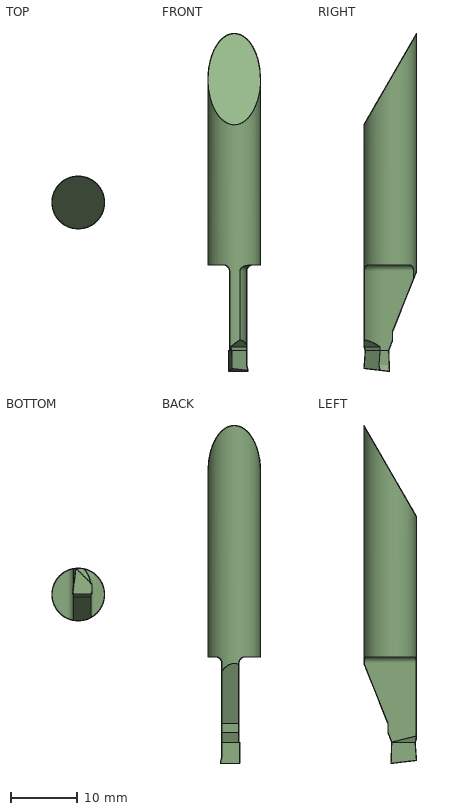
import cadquery as cq
import math

total_height = 51.2
shank_diameter = 8.0
shank_radius = shank_diameter / 2
shank_bottom = 16.1
slant_angle = 60.0
slant_drop = shank_diameter * math.tan(math.radians(slant_angle))

neck_left = -0.7
neck_right = 1.9
root_fillet = 0.9
relief_radius = 4.1
relief_start_y = -1.2
relief_center_x = neck_right - relief_radius
blank_half_depth = 4.6
taper_top = 15.15
taper_bottom = 6.05
heel_y = 0.35
heel_bottom = 4.7

tip_top = 3.2
tip_left = -0.85
tip_flare_right = 2.15
flare_height = 0.95
corner_radius = 0.15
tip_front_y = -3.8
tip_back_y = -0.2
edge_back_y = -0.1
edge_front_height = 0.45
rake_front_x = -0.35

gash_front_height = 4.2
clearance_apex_x = 0.85
clearance_apex = 4.85
clearance_step = 3.75


def relief_x(y):
    """X of the clearance arc on the right of the blade at a given Y."""
    return relief_center_x + math.sqrt(relief_radius**2 - (relief_start_y - y) ** 2)


def neck_and_shank_blank():
    """Oversized bar and blade, filleted together before rounding."""
    arc_mid_y = (relief_start_y - blank_half_depth) / 2
    blade = (
        cq.Workplane("XY")
        .workplane(offset=tip_top)
        .moveTo(neck_left, -blank_half_depth)
        .lineTo(relief_x(-blank_half_depth), -blank_half_depth)
        .threePointArc((relief_x(arc_mid_y), arc_mid_y), (neck_right, relief_start_y))
        .lineTo(neck_right, blank_half_depth)
        .lineTo(neck_left, blank_half_depth)
        .close()
        .extrude(shank_bottom - tip_top)
    )
    bar_width = 2 * blank_half_depth
    bar = (
        cq.Workplane("XY")
        .workplane(offset=shank_bottom)
        .rect(bar_width, bar_width)
        .extrude(total_height - shank_bottom)
    )
    select_margin = 0.5
    root_edges = cq.selectors.BoxSelector(
        (neck_left - select_margin, -blank_half_depth + select_margin, shank_bottom - select_margin),
        (neck_right + select_margin, blank_half_depth - select_margin, shank_bottom + select_margin),
    )
    return bar.union(blade).edges(root_edges).fillet(root_fillet)


def holder_side_profile():
    """Outline in the YZ plane: slanted top, tapered back and narrow foot."""
    return (
        cq.Workplane("YZ")
        .polyline([
            (-shank_radius, tip_top),
            (-shank_radius, total_height - slant_drop),
            (shank_radius, total_height),
            (shank_radius, taper_top),
            (heel_y, taper_bottom),
            (heel_y, heel_bottom),
            (tip_back_y, tip_top),
        ])
        .close()
        .extrude(shank_radius, both=True)
    )


def front_clearance():
    """Cutter for the diagonal clearance face of the tip and its run-out into the blade."""
    diagonal = cq.Plane(origin=(rake_front_x, 0, 0), xDir=(1, -1, 0), normal=(-1, -1, 0))
    tip_top_reach = -tip_front_y / math.sqrt(2)
    edge_reach = shank_radius / math.sqrt(2)
    apex_reach = (clearance_apex_x - rake_front_x + shank_radius) / math.sqrt(2)
    outer_reach = shank_diameter
    return (
        cq.Workplane(diagonal)
        .polyline([
            (edge_reach, 0),
            (edge_reach, edge_front_height),
            (tip_top_reach, tip_top),
            (tip_top_reach, clearance_step),
            (apex_reach, clearance_apex),
            (outer_reach, clearance_apex + outer_reach - apex_reach),
            (outer_reach, 0),
        ])
        .close()
        .extrude(shank_diameter, both=True)
    )


def rake_gash():
    """Sloping run-out of the rake face on the left of the blade."""
    bottom_front = cq.Vector(neck_left, -shank_radius, tip_top)
    bottom_right = cq.Vector(rake_front_x, -shank_radius, tip_top)
    bottom_back = cq.Vector(neck_left, tip_back_y, tip_top)
    apex = cq.Vector(neck_left, -shank_radius, gash_front_height)
    triangles = [
        (bottom_front, bottom_back, bottom_right),
        (bottom_front, bottom_right, apex),
        (bottom_right, bottom_back, apex),
        (bottom_back, bottom_front, apex),
    ]
    faces = [cq.Face.makeFromWires(cq.Wire.makePolygon(corners, close=True)) for corners in triangles]
    return cq.Workplane(cq.Solid.makeSolid(cq.Shell.makeShell(faces)))


def make_holder():
    cylinder = cq.Workplane("XY").circle(shank_radius).extrude(total_height)
    body = neck_and_shank_blank().intersect(cylinder).intersect(holder_side_profile())
    return body.cut(front_clearance()).cut(rake_gash())


def make_tip():
    side = (
        cq.Workplane("YZ")
        .workplane(offset=tip_left)
        .polyline([
            (tip_front_y, tip_top),
            (-shank_radius, edge_front_height),
            (edge_back_y, 0),
            (tip_back_y, tip_top),
        ])
        .close()
        .extrude(tip_flare_right - tip_left)
    )
    plan = (
        cq.Workplane("XY")
        .polyline([
            (rake_front_x, -shank_radius),
            (tip_flare_right, -shank_radius),
            (tip_flare_right, edge_back_y),
            (tip_left, edge_back_y),
        ])
        .close()
        .extrude(tip_top)
    )
    flare = (
        cq.Workplane("XZ")
        .polyline([
            (tip_left, 0),
            (tip_flare_right, 0),
            (neck_right, flare_height),
            (neck_right, tip_top),
            (tip_left, tip_top),
        ])
        .close()
        .extrude(shank_radius)
        .faces("<Z")
        .edges("|Y")
        .fillet(corner_radius)
    )
    return side.intersect(plan).intersect(flare).cut(front_clearance())


holder = make_holder()
tip = make_tip()
result = cq.Compound.makeCompound([holder.solids().val(), tip.solids().val()])